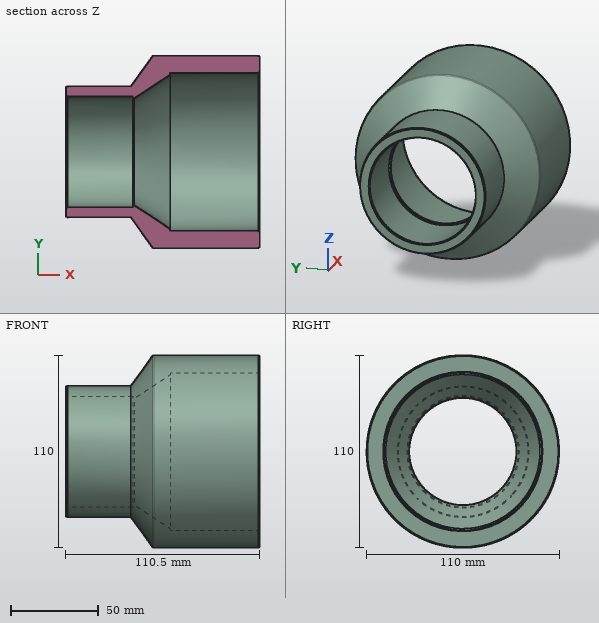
import cadquery as cq

length = 110.5
left_end = -length / 2
right_end = length / 2

spigot_diameter = 75.0
body_diameter = 110.0
spigot_length = 37.0
cone_length = 12.6
shoulder_radius = 1.0
rim_chamfer_length = 1.0
rim_chamfer_height = 0.5

small_socket_diameter = 63.0
large_socket_diameter = 90.0
small_socket_depth = 38.0
large_socket_depth = 51.0
stop_step = 1.0
stop_length = 1.0


def revolve_about_x(points):
    """Revolve a closed outline of (x, radius) points about the X axis."""
    return cq.Workplane("XY").polyline(points).close().revolve(360, (0, 0, 0), (1, 0, 0))


def outer_body():
    spigot_radius = spigot_diameter / 2
    body_radius = body_diameter / 2
    cone_start = left_end + spigot_length
    cone_end = cone_start + cone_length
    body = revolve_about_x([
        (left_end, 0),
        (left_end, spigot_radius - rim_chamfer_height),
        (left_end + rim_chamfer_length, spigot_radius),
        (cone_start, spigot_radius),
        (cone_end, body_radius),
        (right_end - rim_chamfer_length, body_radius),
        (right_end, body_radius - rim_chamfer_height),
        (right_end, 0),
    ])
    shoulder = cq.selectors.NearestToPointSelector((cone_end, 0, 0))
    return body.edges("%CIRCLE").edges(shoulder).fillet(shoulder_radius)


def inner_passage():
    small_radius = small_socket_diameter / 2
    large_radius = large_socket_diameter / 2
    small_stop = left_end + small_socket_depth
    large_stop = right_end - large_socket_depth
    return revolve_about_x([
        (left_end, 0),
        (left_end, small_radius + rim_chamfer_height),
        (left_end + rim_chamfer_length, small_radius),
        (small_stop, small_radius),
        (small_stop, small_radius - stop_step),
        (small_stop + stop_length, small_radius - stop_step),
        (large_stop, large_radius - stop_step),
        (large_stop, large_radius),
        (right_end - rim_chamfer_length, large_radius),
        (right_end, large_radius + rim_chamfer_height),
        (right_end, 0),
    ])


result = outer_body().cut(inner_passage())